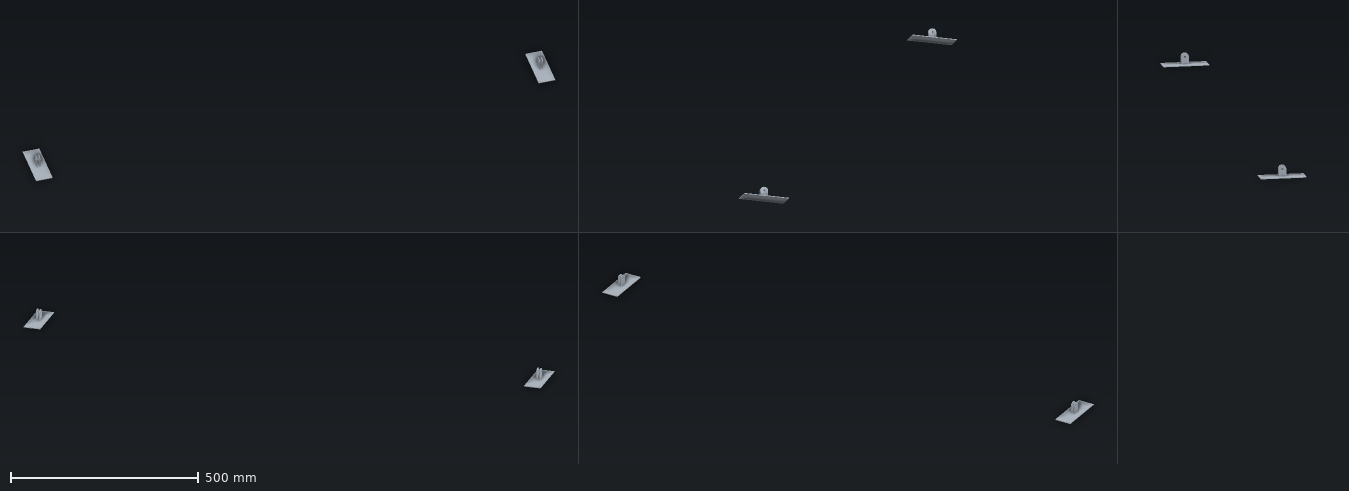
import cadquery as cq

overall_length = 1447.0
overall_height = 32.0

plate_width = 125.0
plate_depth = 46.0
plate_thickness = 2.0
screw_hole_diameter = 2.2
screw_inset_x = 5.0
screw_inset_y = 5.0

lug_width = 20.0
lug_thickness = 2.0
lug_spacing = 8.2
pin_hole_diameter = 5.0
lug_corner_radius = 9.0
pin_height = overall_height - lug_width / 2

bracket_spacing = overall_length - plate_depth


def base_plate():
    """Flat rectangular plate with a screw hole near each corner."""
    plate = cq.Workplane("XY").box(
        plate_width, plate_depth, plate_thickness, centered=(True, True, False)
    )
    return (
        plate.faces(">Z")
        .workplane()
        .rect(plate_width - 2 * screw_inset_x, plate_depth - 2 * screw_inset_y, forConstruction=True)
        .vertices()
        .hole(screw_hole_diameter)
    )


def lug(middle_y):
    """Upright lug with rounded top corners and a cross hole, standing on the plate."""
    lug_height = overall_height - plate_thickness
    blade = (
        cq.Workplane("XY")
        .box(lug_width, lug_thickness, lug_height, centered=(True, True, False))
        .translate((0, middle_y, plate_thickness))
        .edges("|Y and >Z")
        .fillet(lug_corner_radius)
    )
    pin_hole = (
        cq.Workplane("XZ", origin=(0, middle_y, 0))
        .center(0, pin_height)
        .circle(pin_hole_diameter / 2)
        .extrude(lug_thickness, both=True)
    )
    return blade.cut(pin_hole)


def bracket(middle_y):
    """One bracket: the plate and its two lugs as a single solid."""
    body = base_plate()
    for side in (-1, 1):
        body = body.union(lug(side * lug_spacing / 2))
    return body.translate((0, middle_y, 0))


brackets = [bracket(side * bracket_spacing / 2) for side in (-1, 1)]

result = cq.Compound.makeCompound([body.val() for body in brackets])